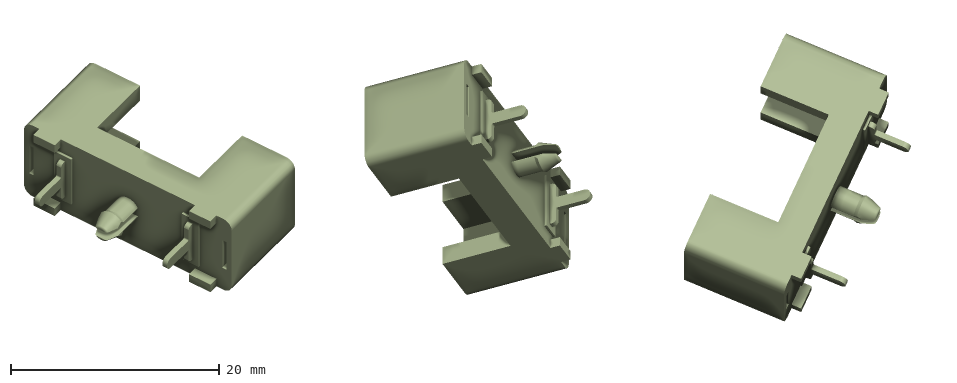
import cadquery as cq

HOUSING_LENGTH = 24.4
HOUSING_DEPTH = 10.5
HOUSING_HEIGHT = 9.4
CORNER_RADIUS = 1.0

NOTCH_WIDTH = 12.0
BRIDGE_DEPTH = 3.35

POCKET_END_WALL = 1.35
POCKET_ROOF = 2.0
POCKET_LENGTH = HOUSING_LENGTH - 2 * POCKET_END_WALL
POCKET_HEIGHT = HOUSING_HEIGHT - 2 * POCKET_ROOF

SLOT_WIDTH = 0.5
SLOT_HEIGHT = 3.65
SLOT_EDGE_DISTANCE = 0.6
SLOT_X = HOUSING_LENGTH / 2 - SLOT_EDGE_DISTANCE - SLOT_WIDTH / 2

FOOT_LENGTH = 2.5
FOOT_THICKNESS = 1.0
FOOT_PROJECTION = 1.0
FOOT_X = 9.15
FOOT_Z = (HOUSING_HEIGHT - FOOT_THICKNESS) / 2

PIN_PROJECTION = 4.5
PEG_RADIUS = 1.3
PEG_SPLIT = 1.0
BARB_RADIUS = 1.475
BARB_START = 2.4
BARB_PEAK = 2.75
TIP_RADIUS = 0.83
TIP_ROUND = 0.25
PEG_WIDTH = 2.32

TERMINAL_X = 7.5
PLATE_WIDTH = 2.0
PLATE_HEIGHT = 6.0
PLATE_THICKNESS = 0.25
BLADE_THICKNESS = 0.55
SHOULDER_HEIGHT = 4.7
SHOULDER_PROJECTION = 0.9
SHOULDER_ROUND = 0.5
SHOULDER_ROUND_START = 0.43
LEG_WIDTH = 1.27
LEG_ROOT_ROUND = 0.15


def block(size_x, size_z, y_start, y_end, x=0, z=0):
    """Box centred on (x, z) that spans y_start to y_end."""
    return cq.Workplane("XY").box(size_x, y_end - y_start, size_z).translate((x, (y_start + y_end) / 2, z))


def make_peg():
    """Barbed round peg, split along Z and with a flat on each X side."""
    peg = (
        cq.Workplane("XY")
        .lineTo(PEG_RADIUS, 0)
        .lineTo(PEG_RADIUS, -BARB_START)
        .lineTo(BARB_RADIUS, -BARB_PEAK)
        .lineTo(TIP_RADIUS, -PIN_PROJECTION)
        .lineTo(0, -PIN_PROJECTION)
        .close()
        .revolve(360, (0, 0, 0), (0, 1, 0))
        .faces("<Y")
        .edges()
        .fillet(TIP_ROUND)
    )
    half_height = BARB_RADIUS - PEG_SPLIT / 2
    half_z = (BARB_RADIUS + PEG_SPLIT / 2) / 2
    halves = [
        peg.intersect(block(PEG_WIDTH, half_height, -PIN_PROJECTION, 0, z=side * half_z))
        for side in (-1, 1)
    ]
    return halves[0].add(halves[1]).combine()


def make_housing():
    """Housing with notch, pocket, slots, feet and snap peg in one piece."""
    body = block(HOUSING_LENGTH, HOUSING_HEIGHT, 0, HOUSING_DEPTH).edges("|Y").fillet(CORNER_RADIUS)
    body = body.cut(block(NOTCH_WIDTH, HOUSING_HEIGHT, BRIDGE_DEPTH, HOUSING_DEPTH))
    body = body.cut(block(POCKET_LENGTH, POCKET_HEIGHT, BRIDGE_DEPTH, HOUSING_DEPTH))
    for side_x in (-1, 1):
        body = body.cut(block(SLOT_WIDTH, SLOT_HEIGHT, 0, HOUSING_DEPTH, x=side_x * SLOT_X))
        for side_z in (-1, 1):
            body = body.union(
                block(FOOT_LENGTH, FOOT_THICKNESS, -FOOT_PROJECTION, 0, x=side_x * FOOT_X, z=side_z * FOOT_Z)
            )
    return body.union(make_peg())


def make_shoulder():
    """Wide part of the blade; its outer corners are arcs tangent to the ends."""
    half_height = SHOULDER_HEIGHT / 2
    arc_run = SHOULDER_PROJECTION - SHOULDER_ROUND_START
    arc_drop = SHOULDER_ROUND - (SHOULDER_ROUND**2 - arc_run**2) ** 0.5
    outer_half_height = half_height - arc_drop
    return (
        cq.Workplane("YZ")
        .moveTo(-PLATE_THICKNESS, -half_height)
        .lineTo(-PLATE_THICKNESS, half_height)
        .lineTo(-SHOULDER_ROUND_START, half_height)
        .radiusArc((-SHOULDER_PROJECTION, outer_half_height), -SHOULDER_ROUND)
        .lineTo(-SHOULDER_PROJECTION, -outer_half_height)
        .radiusArc((-SHOULDER_ROUND_START, -half_height), -SHOULDER_ROUND)
        .close()
        .extrude(BLADE_THICKNESS / 2, both=True)
    )


def make_leg():
    """Solder leg with a fully rounded tip."""
    half_width = LEG_WIDTH / 2
    tip_start = -PIN_PROJECTION + half_width
    return (
        cq.Workplane("YZ")
        .moveTo(-PLATE_THICKNESS, -half_width)
        .lineTo(-PLATE_THICKNESS, half_width)
        .lineTo(tip_start, half_width)
        .threePointArc((-PIN_PROJECTION, 0), (tip_start, -half_width))
        .close()
        .extrude(BLADE_THICKNESS / 2, both=True)
    )


def make_terminal(x):
    """One terminal: base plate and blade, with the leg roots rounded."""
    root_corners = cq.selectors.BoxSelector(
        (-BLADE_THICKNESS, -SHOULDER_PROJECTION - LEG_ROOT_ROUND, -LEG_WIDTH),
        (BLADE_THICKNESS, -SHOULDER_PROJECTION + LEG_ROOT_ROUND, LEG_WIDTH),
    )
    blade = make_shoulder().union(make_leg()).edges("|X").edges(root_corners).fillet(LEG_ROOT_ROUND)
    plate = block(PLATE_WIDTH, PLATE_HEIGHT, -PLATE_THICKNESS, 0)
    return plate.union(blade).translate((x, 0, 0))


housing = make_housing()
terminals = [make_terminal(side * TERMINAL_X) for side in (-1, 1)]

result = cq.Compound.makeCompound([housing.val(), *[terminal.val() for terminal in terminals]])